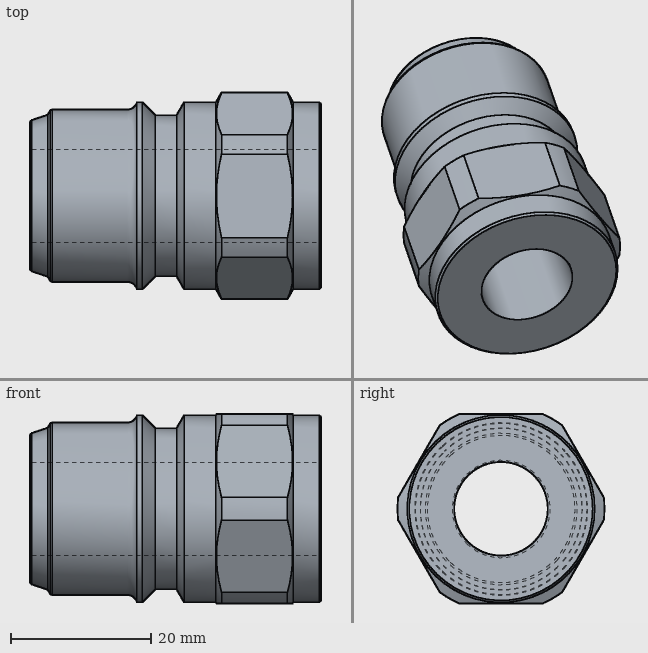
import cadquery as cq
import math

total_length = 41.5
edge_chamfer = 0.3

bore_radius = 6.65
nose_radius = 10.8
nose_large_radius = 11.55
nose_length = 2.55
nose_shoulder_width = 0.4

barrel_radius = 12.3
barrel_rim_width = 0.25
barrel_rim_drop = 0.1
barrel_end = 13.9
sweep_radius = 1.4

body_radius = 13.35
collar_end = 16.05
neck_radius = 11.5
neck_end = 20.9
neck_shoulder_angle = 60

hex_sides = 6
hex_start = 26.5
hex_length = 11.0
hex_across_flats = 27.0
hex_corner_diameter = 29.5
hex_chamfer_angle = 30


def arc_between(center, radius, start_deg, end_deg):
    """Return the middle and end points of an arc, given its center and angles."""
    points = []
    for angle_deg in ((start_deg + end_deg) / 2, end_deg):
        angle = math.radians(angle_deg)
        points.append((center[0] + radius * math.cos(angle), center[1] + radius * math.sin(angle)))
    return points


def turned_body():
    """Revolve the outer profile, (x, radius), about the X axis."""
    barrel_start = nose_length + nose_shoulder_width
    neck_step = body_radius - neck_radius
    shoulder_length = neck_step / math.tan(math.radians(neck_shoulder_angle))

    sweep_center = (barrel_end, barrel_radius + sweep_radius)
    sweep_turn = math.degrees(math.acos((sweep_center[1] - body_radius) / sweep_radius))
    sweep_mid, sweep_end = arc_between(sweep_center, sweep_radius, -90, -90 + sweep_turn)

    profile = (
        cq.Workplane("XY")
        .moveTo(0, 0)
        .lineTo(0, nose_radius - edge_chamfer)
        .lineTo(edge_chamfer, nose_radius)
        .lineTo(nose_length, nose_large_radius)
        .lineTo(barrel_start, barrel_radius - barrel_rim_drop)
        .lineTo(barrel_start + barrel_rim_width, barrel_radius)
        .lineTo(barrel_end, barrel_radius)
        .threePointArc(sweep_mid, sweep_end)
        .lineTo(collar_end, body_radius)
        .lineTo(collar_end + neck_step, neck_radius)
        .lineTo(neck_end, neck_radius)
        .lineTo(neck_end + shoulder_length, body_radius)
        .lineTo(total_length - edge_chamfer, body_radius)
        .lineTo(total_length, body_radius - edge_chamfer)
        .lineTo(total_length, 0)
        .close()
    )
    return profile.revolve(360, (0, 0, 0), (1, 0, 0))


def hexagon():
    """Hexagonal prism trimmed by a cylinder with conical ends."""
    corner_radius = hex_corner_diameter / 2
    hex_end = hex_start + hex_length
    cone_length = (corner_radius - body_radius) * math.tan(math.radians(hex_chamfer_angle))

    across_corners = hex_across_flats / math.cos(math.pi / hex_sides)
    prism = (
        cq.Workplane("YZ", origin=(hex_start, 0, 0))
        .polygon(hex_sides, across_corners)
        .extrude(hex_length)
    )
    envelope = (
        cq.Workplane("XY")
        .moveTo(hex_start, 0)
        .lineTo(hex_start, body_radius)
        .lineTo(hex_start + cone_length, corner_radius)
        .lineTo(hex_end - cone_length, corner_radius)
        .lineTo(hex_end, body_radius)
        .lineTo(hex_end, 0)
        .close()
        .revolve(360, (0, 0, 0), (1, 0, 0))
    )
    return prism.intersect(envelope)


def bore():
    """Through bore with a chamfered mouth in the nose face."""
    profile = (
        cq.Workplane("XY")
        .moveTo(0, 0)
        .lineTo(0, bore_radius + edge_chamfer)
        .lineTo(edge_chamfer, bore_radius)
        .lineTo(total_length, bore_radius)
        .lineTo(total_length, 0)
        .close()
    )
    return profile.revolve(360, (0, 0, 0), (1, 0, 0))


result = turned_body().union(hexagon()).cut(bore())